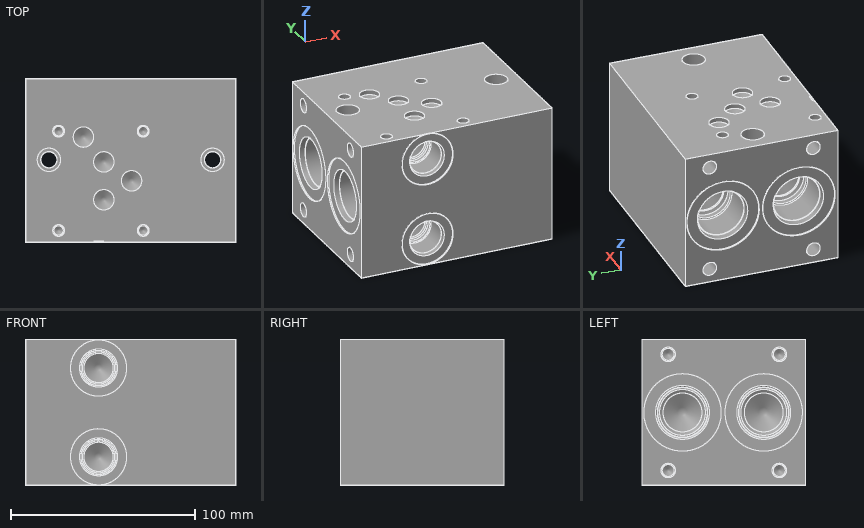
import cadquery as cq
import math

LENGTH = 114.3
WIDTH = 88.9
HEIGHT = 79.3

DRILL_TIP_ANGLE = 118.0

MAIN_PORT_SPOTFACE = 42.1
MAIN_PORT_ENTRY = 29.3
MAIN_PORT_SEAT = 27.4
MAIN_PORT_THREAD = 27.0
MAIN_PORT_BORE = 24.9
MAIN_PORT_DRILL = 21.1
MAIN_PORT_SEAT_DEPTH = 3.8
MAIN_PORT_THREAD_DEPTH = 21.7
MAIN_PORT_BORE_DEPTH = 25.1
MAIN_PORT_DRILL_DEPTH = 27.4
MAIN_PORT_Y = 22.7
MAIN_PORT_SPACING = 44.1

WORK_PORT_SPOTFACE = 30.5
WORK_PORT_ENTRY = 20.7
WORK_PORT_SEAT = 19.2
WORK_PORT_THREAD = 19.1
WORK_PORT_BORE = 17.5
WORK_PORT_DRILL = 15.9
WORK_PORT_SEAT_DEPTH = 3.0
WORK_PORT_THREAD_DEPTH = 16.0
WORK_PORT_BORE_DEPTH = 18.3
WORK_PORT_DRILL_DEPTH = 20.6
WORK_PORT_X = 39.7
WORK_PORT_EDGE = 15.5

SPOTFACE_DEPTH = 0.8

VALVE_BOLT_THREAD = 6.4
VALVE_BOLT_DRILL = 5.1
VALVE_BOLT_THREAD_DEPTH = 13.7
VALVE_BOLT_DRILL_DEPTH = 17.1
VALVE_X = 18.0
VALVE_Y = 6.4
VALVE_BOLT_PITCH_X = 46.0
VALVE_BOLT_PITCH_Y = 54.0
PASSAGE_DIAMETER = 11.1
PASSAGE_DEPTH = 2.9
TANK_PASSAGE = (13.5, 50.7)
WORK_PASSAGE_X = 24.6
WORK_PASSAGE_SPACING = 20.6
PRESSURE_PASSAGE_X = 39.7

FLANGE_BOLT_THREAD = 7.9
FLANGE_BOLT_DRILL = 6.5
FLANGE_BOLT_THREAD_DEPTH = 16.0
FLANGE_BOLT_DRILL_DEPTH = 19.4
FLANGE_BOLT_PITCH_Y = 60.4
FLANGE_BOLT_PITCH_Z = 63.1

MOUNT_DIAMETER = 8.7
MOUNT_COUNTERBORE = 12.7
MOUNT_COUNTERBORE_DEPTH = 10.3
MOUNT_PITCH = 88.9
MOUNT_Y = 44.8


def tip_length(diameter):
    return diameter / 2 / math.tan(math.radians(DRILL_TIP_ANGLE / 2))


def bore(wall, pointed=True):
    """Solid of revolution sunk along -Z from the origin; wall lists (diameter, depth) from the mouth down."""
    outline = [(diameter / 2, -depth) for diameter, depth in wall]
    end_diameter, end_depth = wall[-1]
    if pointed:
        end_depth += tip_length(end_diameter)
    outline = [(0, 0)] + outline + [(0, -end_depth)]
    return cq.Workplane("XZ").polyline(outline).close().revolve(360, (0, 0), (0, 1))


def sink_from_top(tool, x, y):
    return tool.translate((x, y, HEIGHT))


def sink_from_front(tool, x, z):
    return tool.rotate((0, 0, 0), (1, 0, 0), 90).translate((x, 0, z))


def sink_from_left(tool, y, z):
    return tool.rotate((0, 0, 0), (0, 1, 0), -90).translate((0, y, z))


def port(spotface, entry, seat, thread, minor, drill, seat_depth, thread_depth, bore_depth, drill_depth):
    """Straight-thread port: spotface, tapered seal seat, thread, and bore with a cone down to the drill."""
    cone_depth = bore_depth + tip_length(minor) - tip_length(drill)
    return bore([
        (spotface, 0),
        (spotface, SPOTFACE_DEPTH),
        (entry, SPOTFACE_DEPTH),
        (seat, seat_depth),
        (thread, seat_depth),
        (thread, thread_depth),
        (minor, thread_depth),
        (minor, bore_depth),
        (drill, cone_depth),
        (drill, drill_depth),
    ])


def tapped_hole(thread, drill, thread_depth, drill_depth):
    return bore([(thread, 0), (thread, thread_depth), (drill, thread_depth), (drill, drill_depth)])


block = cq.Workplane("XY").box(LENGTH, WIDTH, HEIGHT, centered=False)
cuts = []

main_port = port(
    MAIN_PORT_SPOTFACE, MAIN_PORT_ENTRY, MAIN_PORT_SEAT, MAIN_PORT_THREAD, MAIN_PORT_BORE,
    MAIN_PORT_DRILL, MAIN_PORT_SEAT_DEPTH, MAIN_PORT_THREAD_DEPTH, MAIN_PORT_BORE_DEPTH,
    MAIN_PORT_DRILL_DEPTH,
)
for y in (MAIN_PORT_Y, MAIN_PORT_Y + MAIN_PORT_SPACING):
    cuts.append(sink_from_left(main_port, y, HEIGHT / 2))

work_port = port(
    WORK_PORT_SPOTFACE, WORK_PORT_ENTRY, WORK_PORT_SEAT, WORK_PORT_THREAD, WORK_PORT_BORE,
    WORK_PORT_DRILL, WORK_PORT_SEAT_DEPTH, WORK_PORT_THREAD_DEPTH, WORK_PORT_BORE_DEPTH,
    WORK_PORT_DRILL_DEPTH,
)
for z in (WORK_PORT_EDGE, HEIGHT - WORK_PORT_EDGE):
    cuts.append(sink_from_front(work_port, WORK_PORT_X, z))

valve_bolt = tapped_hole(
    VALVE_BOLT_THREAD, VALVE_BOLT_DRILL, VALVE_BOLT_THREAD_DEPTH, VALVE_BOLT_DRILL_DEPTH
)
for x in (VALVE_X, VALVE_X + VALVE_BOLT_PITCH_X):
    for y in (VALVE_Y, VALVE_Y + VALVE_BOLT_PITCH_Y):
        cuts.append(sink_from_top(valve_bolt, x, y))

valve_mid_y = VALVE_BOLT_PITCH_Y / 2
passage = bore([(PASSAGE_DIAMETER, 0), (PASSAGE_DIAMETER, PASSAGE_DEPTH)])
passage_places = [
    TANK_PASSAGE,
    (WORK_PASSAGE_X, valve_mid_y - WORK_PASSAGE_SPACING / 2),
    (WORK_PASSAGE_X, valve_mid_y + WORK_PASSAGE_SPACING / 2),
    (PRESSURE_PASSAGE_X, valve_mid_y),
]
for x, y in passage_places:
    cuts.append(sink_from_top(passage, VALVE_X + x, VALVE_Y + y))

flange_bolt = tapped_hole(
    FLANGE_BOLT_THREAD, FLANGE_BOLT_DRILL, FLANGE_BOLT_THREAD_DEPTH, FLANGE_BOLT_DRILL_DEPTH
)
for y_side in (-1, 1):
    for z_side in (-1, 1):
        y = WIDTH / 2 + y_side * FLANGE_BOLT_PITCH_Y / 2
        z = HEIGHT / 2 + z_side * FLANGE_BOLT_PITCH_Z / 2
        cuts.append(sink_from_left(flange_bolt, y, z))

mount_hole = bore([
    (MOUNT_COUNTERBORE, 0),
    (MOUNT_COUNTERBORE, MOUNT_COUNTERBORE_DEPTH),
    (MOUNT_DIAMETER, MOUNT_COUNTERBORE_DEPTH),
    (MOUNT_DIAMETER, HEIGHT),
], pointed=False)
for side in (-1, 1):
    cuts.append(sink_from_top(mount_hole, LENGTH / 2 + side * MOUNT_PITCH / 2, MOUNT_Y))

result = block
for tool in cuts:
    result = result.cut(tool)